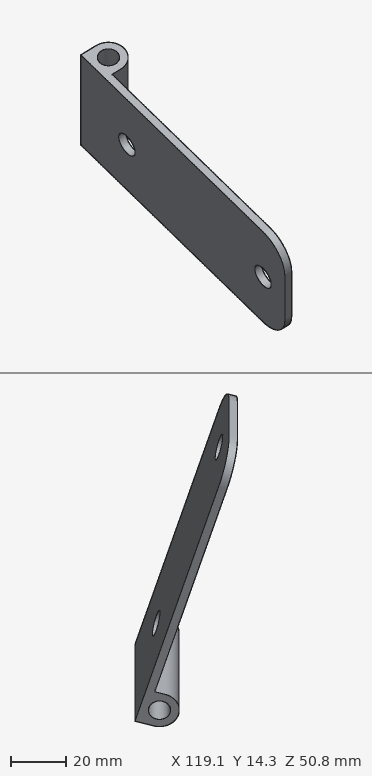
import cadquery as cq

length = 119.1
height = 50.8
thickness = 3.2
corner_radius = 12.7

barrel_diameter = 14.3
barrel_radius = barrel_diameter / 2
pin_hole_diameter = 8.0

mount_hole_diameter = 9.5
mount_hole_spacing = 79.4
outer_hole_x = length - corner_radius
inner_hole_x = outer_hole_x - mount_hole_spacing


def make_leaf():
    """Flat plate on the XZ plane with its two free corners rounded."""
    plate = cq.Workplane("XY").box(length, thickness, height, centered=False)
    return plate.edges("|Y and >X").fillet(corner_radius)


def make_barrel():
    """Full-height knuckle: square against the leaf front, round at the back."""
    return (
        cq.Workplane("XY")
        .lineTo(barrel_diameter, 0)
        .lineTo(barrel_diameter, barrel_radius)
        .threePointArc((barrel_radius, barrel_diameter), (0, barrel_radius))
        .close()
        .extrude(height)
    )


def make_pin_hole():
    """Pin bore through the barrel, concentric with its round back."""
    return (
        cq.Workplane("XY")
        .center(barrel_radius, barrel_radius)
        .circle(pin_hole_diameter / 2)
        .extrude(height)
    )


def make_mount_holes():
    """Screw holes through the leaf thickness."""
    mid_height = height / 2
    return (
        cq.Workplane("XZ")
        .pushPoints([(inner_hole_x, mid_height), (outer_hole_x, mid_height)])
        .circle(mount_hole_diameter / 2)
        .extrude(-thickness)
    )


result = make_leaf().union(make_barrel()).cut(make_pin_hole()).cut(make_mount_holes())